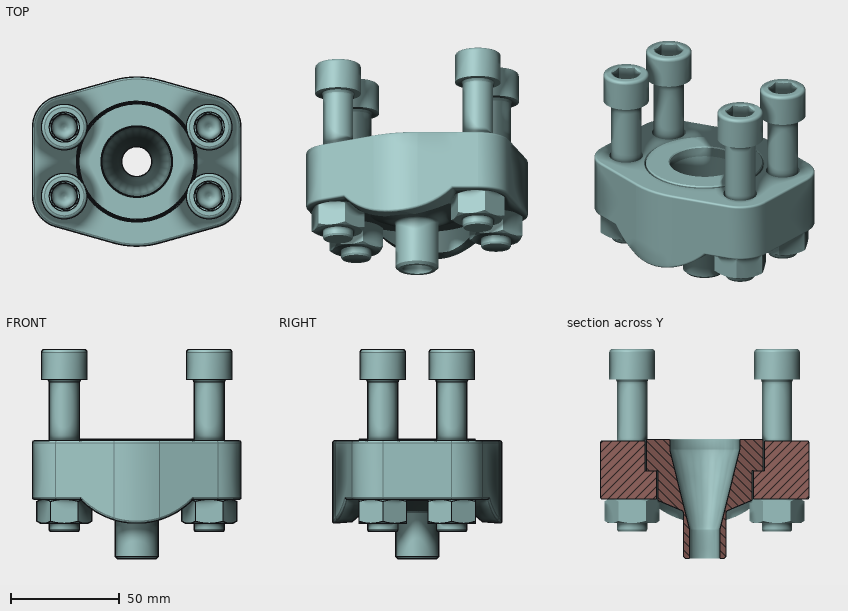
import cadquery as cq
import math

LENGTH = 96.0
WIDTH = 78.0
BOLT_X = 66.7 / 2
BOLT_Y = 31.75 / 2
BOLT_PLACES = [(sx * BOLT_X, sy * BOLT_Y) for sx in (-1, 1) for sy in (-1, 1)]

FLANGE_TOP = 54.4
FLANGE_BOTTOM = 27.4
BELLY_BOTTOM = 16.4
BELLY_RADIUS = 36.0
CORNER_RADIUS = LENGTH / 2 - BOLT_X
SIDE_RADIUS = WIDTH / 2
EDGE_ROUND = 1.0
BOLT_HOLE_D = 15.5
COUNTERBORE_D = 54.7
THROUGH_BORE_D = 44.5
BORE_CHAMFER = 0.5
RECESS_D = 61.8
RIM_RISE = 0.7

INSERT_TOP = 55.1
COLLAR_D = 54.0
COLLAR_BOTTOM = 40.5
HUB_D = 43.5
HUB_BOTTOM = 26.9
STUB_D = 20.0
NECK_Z = 21.9
NECK_ROUND = 0.9
STUB_CHAMFER = 1.2
MOUTH_D = 32.0
MOUTH_DEPTH = 4.8
BORE_D = 13.7
BORE_CONE_BOTTOM = 13.5
RIM_CHAMFER = 0.5

BOLT_D = 14.0
BOLT_TOP = 96.5
HEAD_D = 21.0
HEAD_HEIGHT = BOLT_D
HEAD_ROUND = 1.4
SHANK_LENGTH = 70.0
TIP_D = 13.0
TIP_HEIGHT = 0.9
FLARE_WIDTH = 0.5
FLARE_HEIGHT = 1.2
SOCKET_FLATS = 12.0
SOCKET_DEPTH = 8.0
SOCKET_TURN = 37
SOCKET_RIM_D = 13.9
SOCKET_RIM_DEPTH = 0.6
SOCKET_POINT_D = 11.8
SOCKET_POINT_DEPTH = 3.4

NUT_FLATS = 22.0
NUT_HEIGHT = 11.0
NUT_CORNER_D = NUT_FLATS / math.cos(math.pi / 6)
NUT_CHAMFER_SLOPE = math.tan(math.pi / 6)


def cylinder(diameter, bottom, top):
    return cq.Workplane("XY", origin=(0, 0, bottom)).circle(diameter / 2).extrude(top - bottom)


def at_bolts(shape):
    """One copy of the shape on each bolt axis."""
    return [shape.translate((x, y, 0)) for x, y in BOLT_PLACES]


def flange_blank():
    """Prism whose outline is four corner arcs and two side arcs joined by tangent lines."""
    reach = math.hypot(BOLT_X, BOLT_Y)
    slope = math.asin((SIDE_RADIUS - CORNER_RADIUS) / reach) - math.atan2(BOLT_Y, BOLT_X)
    nx = math.sin(slope)
    ny = math.cos(slope)
    turn = (math.pi / 2 - slope) / 2
    end_x = LENGTH / 2
    corner_mid = (BOLT_X + CORNER_RADIUS * math.cos(turn), BOLT_Y + CORNER_RADIUS * math.sin(turn))
    corner_end = (BOLT_X + CORNER_RADIUS * nx, BOLT_Y + CORNER_RADIUS * ny)
    side_end = (SIDE_RADIUS * nx, SIDE_RADIUS * ny)
    outline = (
        cq.Workplane("XY", origin=(0, 0, BELLY_BOTTOM))
        .moveTo(end_x, -BOLT_Y)
        .lineTo(end_x, BOLT_Y)
        .threePointArc(corner_mid, corner_end)
        .lineTo(*side_end)
        .threePointArc((0, SIDE_RADIUS), (-side_end[0], side_end[1]))
        .lineTo(-corner_end[0], corner_end[1])
        .threePointArc((-corner_mid[0], corner_mid[1]), (-end_x, BOLT_Y))
        .lineTo(-end_x, -BOLT_Y)
        .threePointArc((-corner_mid[0], -corner_mid[1]), (-corner_end[0], -corner_end[1]))
        .lineTo(-side_end[0], -side_end[1])
        .threePointArc((0, -SIDE_RADIUS), (side_end[0], -side_end[1]))
        .lineTo(corner_end[0], -corner_end[1])
        .threePointArc((corner_mid[0], -corner_mid[1]), (end_x, -BOLT_Y))
        .close()
    )
    return outline.extrude(FLANGE_TOP - BELLY_BOTTOM)


def flange_profile():
    """Slab with a round bulge below it, running the full width along Y."""
    drop = FLANGE_BOTTOM - BELLY_BOTTOM
    belly_half = math.sqrt(2 * BELLY_RADIUS * drop - drop**2)
    return (
        cq.Workplane("XZ", origin=(0, WIDTH / 2 + 1, 0))
        .moveTo(-LENGTH, FLANGE_TOP)
        .lineTo(-LENGTH, FLANGE_BOTTOM)
        .lineTo(-belly_half, FLANGE_BOTTOM)
        .threePointArc((0, BELLY_BOTTOM), (belly_half, FLANGE_BOTTOM))
        .lineTo(LENGTH, FLANGE_BOTTOM)
        .lineTo(LENGTH, FLANGE_TOP)
        .close()
        .extrude(WIDTH + 1.9)
    )


def belly_recess():
    """Round opening through the bulge, its lower rim flaring out in a shallow cone."""
    below = BELLY_BOTTOM - 1
    return (
        cq.Workplane("XZ")
        .moveTo(0, FLANGE_BOTTOM)
        .lineTo(RECESS_D / 2, FLANGE_BOTTOM)
        .lineTo(RECESS_D / 2, BELLY_BOTTOM + RIM_RISE)
        .lineTo(WIDTH / 2, BELLY_BOTTOM)
        .lineTo(WIDTH / 2, below)
        .lineTo(0, below)
        .close()
        .revolve(360, (0, 0, 0), (0, 1, 0))
    )


def chamfered_bore(diameter, bottom, top, chamfer):
    """Cutter for a round hole with a chamfered upper rim."""
    rim = cq.Workplane("XY", origin=(0, 0, top)).circle(diameter / 2 + chamfer)
    cone = rim.workplane(offset=-chamfer).circle(diameter / 2).loft(ruled=True)
    return cylinder(diameter, bottom, top).union(cone)


def make_flange():
    body = flange_blank().intersect(flange_profile())
    low = cq.selectors.BoxSelector((-LENGTH, -WIDTH, 0), (LENGTH, WIDTH, FLANGE_BOTTOM + 1))
    inner = cq.selectors.BoxSelector((-BOLT_X, -1, 0), (BOLT_X, 1, FLANGE_TOP - 1))
    body = body.edges(low - inner).fillet(EDGE_ROUND)
    body = body.faces(">Z").edges().fillet(EDGE_ROUND)
    body = body.cut(belly_recess())
    body = body.cut(cylinder(THROUGH_BORE_D, FLANGE_BOTTOM, FLANGE_TOP))
    body = body.cut(chamfered_bore(COUNTERBORE_D, COLLAR_BOTTOM, FLANGE_TOP, BORE_CHAMFER))
    for hole in at_bolts(cylinder(BOLT_HOLE_D, 0, FLANGE_TOP)):
        body = body.cut(hole)
    for clearance in at_bolts(cylinder(NUT_CORNER_D, 0, FLANGE_BOTTOM)):
        body = body.cut(clearance)
    return body


def make_insert():
    """Collared sleeve whose hub tapers down to a thin stub."""
    body = (
        cq.Workplane("XZ")
        .lineTo(STUB_D / 2 - STUB_CHAMFER, 0)
        .lineTo(STUB_D / 2, STUB_CHAMFER)
        .lineTo(STUB_D / 2, NECK_Z)
        .lineTo(HUB_D / 2, HUB_BOTTOM)
        .lineTo(HUB_D / 2, COLLAR_BOTTOM)
        .lineTo(COLLAR_D / 2, COLLAR_BOTTOM)
        .lineTo(COLLAR_D / 2, INSERT_TOP - RIM_CHAMFER)
        .lineTo(COLLAR_D / 2 - RIM_CHAMFER, INSERT_TOP)
        .lineTo(0, INSERT_TOP)
        .close()
        .revolve(360, (0, 0, 0), (0, 1, 0))
    )
    neck = cq.selectors.BoxSelector((-STUB_D, -STUB_D, NECK_Z - 0.1), (STUB_D, STUB_D, NECK_Z + 0.1))
    body = body.edges(neck).fillet(NECK_ROUND)
    mouth_bottom = INSERT_TOP - MOUTH_DEPTH
    taper = (
        cq.Workplane("XY", origin=(0, 0, BORE_CONE_BOTTOM))
        .circle(BORE_D / 2)
        .workplane(offset=mouth_bottom - BORE_CONE_BOTTOM)
        .circle(MOUTH_D / 2)
        .loft(ruled=True)
    )
    body = body.cut(cylinder(BORE_D, 0, INSERT_TOP)).cut(taper)
    return body.cut(chamfered_bore(MOUTH_D, mouth_bottom, INSERT_TOP, RIM_CHAMFER))


def make_bolt():
    """Socket head cap screw on the Z axis, head up."""
    head_bottom = BOLT_TOP - HEAD_HEIGHT
    tip = head_bottom - SHANK_LENGTH
    body = (
        cq.Workplane("XZ")
        .moveTo(0, tip)
        .lineTo(TIP_D / 2, tip)
        .lineTo(BOLT_D / 2, tip + TIP_HEIGHT)
        .lineTo(BOLT_D / 2, head_bottom - FLARE_HEIGHT)
        .lineTo(BOLT_D / 2 + FLARE_WIDTH, head_bottom)
        .lineTo(HEAD_D / 2, head_bottom)
        .lineTo(HEAD_D / 2, BOLT_TOP)
        .lineTo(0, BOLT_TOP)
        .close()
        .revolve(360, (0, 0, 0), (0, 1, 0))
    )
    body = body.faces(">Z").edges().fillet(HEAD_ROUND)
    floor = BOLT_TOP - SOCKET_DEPTH
    corner_d = SOCKET_FLATS / math.cos(math.pi / 6)
    socket = (
        cq.Workplane("XY", origin=(0, 0, floor))
        .transformed(rotate=(0, 0, SOCKET_TURN))
        .polygon(6, corner_d)
        .extrude(SOCKET_DEPTH)
    )
    point_tip = cq.Vector(0, 0, floor - SOCKET_POINT_DEPTH)
    point = cq.Solid.makeCone(0, SOCKET_POINT_D / 2, SOCKET_POINT_DEPTH, point_tip)
    rim_bottom = cq.Vector(0, 0, BOLT_TOP - SOCKET_RIM_DEPTH)
    rim = cq.Solid.makeCone(SOCKET_FLATS / 2, SOCKET_RIM_D / 2, SOCKET_RIM_DEPTH, rim_bottom)
    return body.cut(socket).cut(cq.Workplane(point)).cut(cq.Workplane(rim))


def make_nut():
    """Hexagon nut on the Z axis, corners along X, chamfered at both ends."""
    bottom = FLANGE_BOTTOM - NUT_HEIGHT
    hexagon = cq.Workplane("XY", origin=(0, 0, bottom)).polygon(6, NUT_CORNER_D).extrude(NUT_HEIGHT)
    corner_drop = (NUT_CORNER_D - NUT_FLATS) / 2 * NUT_CHAMFER_SLOPE
    envelope = (
        cq.Workplane("XZ")
        .moveTo(0, bottom)
        .lineTo(NUT_FLATS / 2, bottom)
        .lineTo(NUT_CORNER_D / 2, bottom + corner_drop)
        .lineTo(NUT_CORNER_D / 2, FLANGE_BOTTOM - corner_drop)
        .lineTo(NUT_FLATS / 2, FLANGE_BOTTOM)
        .lineTo(0, FLANGE_BOTTOM)
        .close()
        .revolve(360, (0, 0, 0), (0, 1, 0))
    )
    return hexagon.intersect(envelope).cut(cylinder(BOLT_D, bottom, FLANGE_BOTTOM))


flange = make_flange()
insert = make_insert()
bolts = at_bolts(make_bolt())
nuts = at_bolts(make_nut())

result = cq.Compound.makeCompound(
    [flange.val(), insert.val()] + [bolt.val() for bolt in bolts] + [nut.val() for nut in nuts]
)